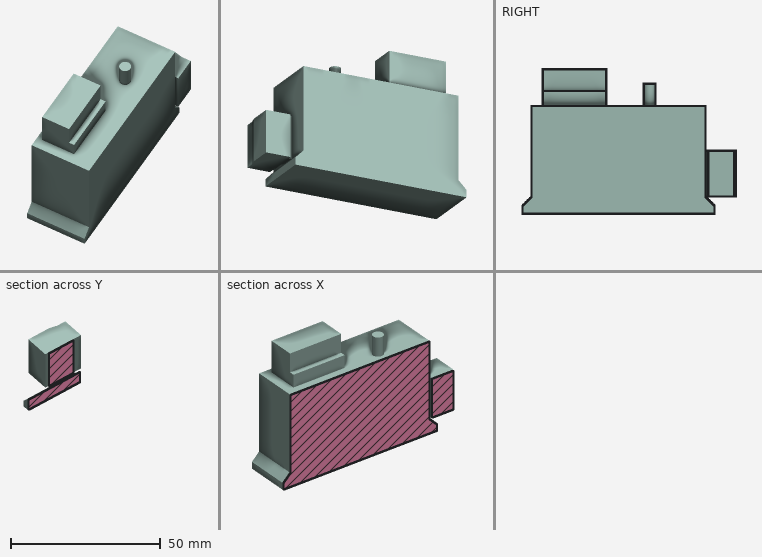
import cadquery as cq

overall_length = 71.3
overall_width = 22.7
overall_height = 48.3

housing_width = 22.0
housing_height = 36.0
foot_length = 64.2
foot_height = 2.65
foot_flare = 3.0
housing_back = foot_length - foot_flare

terminal_left = 1.9
terminal_front = 6.7
terminal_length = 21.3
terminal_width = 12.25
terminal_top_width = 10.35
terminal_step_height = 4.9
terminal_height = overall_height - housing_height

pin_diameter = 4.0
pin_height = 7.4
pin_x = 13.5
pin_y = 42.4

plug_bottom = 5.8
plug_height = 15.3
plug_left = 7.55
neck_left = 8.85
neck_right = 14.2
neck_length = 0.9
relief_left = 15.05
relief_right = 19.25
relief_offset = 0.2
slope_left = 16.4
outer_step = 0.7


def make_housing():
    """Side profile in Y and Z, extruded across the width."""
    flare_top = foot_height + foot_flare
    return (
        cq.Workplane("YZ")
        .moveTo(0, 0)
        .lineTo(foot_length, 0)
        .lineTo(foot_length, foot_height)
        .lineTo(housing_back, flare_top)
        .lineTo(housing_back, housing_height)
        .lineTo(foot_flare, housing_height)
        .lineTo(foot_flare, flare_top)
        .lineTo(0, foot_height)
        .close()
        .extrude(housing_width)
    )


def make_terminal():
    """Full-height block with a lower step along its right side."""
    corner = (terminal_left, terminal_front, housing_height)
    lower = cq.Workplane(origin=corner).box(
        terminal_width, terminal_length, terminal_step_height, centered=False
    )
    upper = cq.Workplane(origin=corner).box(
        terminal_top_width, terminal_length, terminal_height, centered=False
    )
    return lower.union(upper)


def make_pin():
    return (
        cq.Workplane(origin=(pin_x, pin_y, housing_height))
        .circle(pin_diameter / 2)
        .extrude(pin_height)
    )


def make_plug():
    """Plan profile in X and Y, extruded upwards; a neck joins it to the housing."""
    shoulder_y = housing_back + neck_length
    relief_y = shoulder_y - relief_offset
    low_outer_y = overall_length - outer_step
    return (
        cq.Workplane(origin=(0, 0, plug_bottom))
        .moveTo(neck_left, housing_back)
        .lineTo(neck_right, housing_back)
        .lineTo(relief_left, relief_y)
        .lineTo(relief_right, relief_y)
        .lineTo(relief_right, shoulder_y)
        .lineTo(overall_width, shoulder_y)
        .lineTo(overall_width, low_outer_y)
        .lineTo(relief_right, low_outer_y)
        .lineTo(slope_left, overall_length)
        .lineTo(plug_left, overall_length)
        .lineTo(plug_left, shoulder_y)
        .lineTo(neck_left, shoulder_y)
        .close()
        .extrude(plug_height)
    )


result = make_housing().union(make_terminal()).union(make_pin()).union(make_plug())